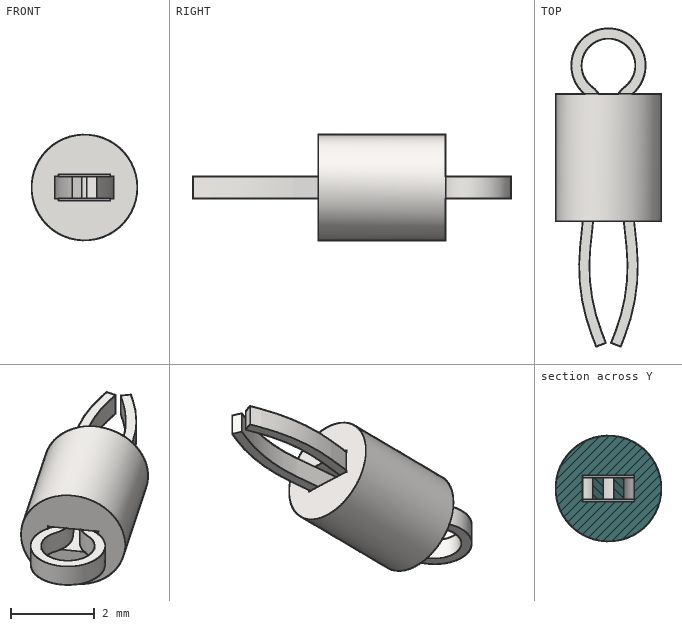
import cadquery as cq
import math

sleeve_diameter = 2.54
sleeve_length = 3.05
slot_half_width = 0.62
slot_height = 0.625

overall_length = 7.62
strip_thickness = 0.25
strip_width = 0.53
loop_outer_radius = 0.89
loop_top_y = 4.62
neck_bend_radius = 0.65
leg_bend_radius = 4.495
leg_bend_start_y = -0.595

loop_top_angle = 90.0
neck_angle = -50.0
splay_angle = 6.0
tip_angle = -21.0

half_thickness = strip_thickness / 2
loop_radius = loop_outer_radius - half_thickness
loop_center = (0.0, loop_top_y - loop_outer_radius)
tip_y = loop_top_y - overall_length


def normal(angle):
    """Unit vector at an angle in degrees from +X."""
    return math.cos(math.radians(angle)), math.sin(math.radians(angle))


def on_arc(center, radius, angle):
    """Point of a circle; a negative radius gives the opposite side."""
    nx, ny = normal(angle)
    return center[0] + radius * nx, center[1] + radius * ny


def dot(a, b):
    return a[0] * b[0] + a[1] * b[1]


leg_bend_start = (
    slot_half_width - leg_bend_start_y * math.tan(math.radians(splay_angle)),
    leg_bend_start_y,
)
leg_bend_center = on_arc(leg_bend_start, -(leg_bend_radius + half_thickness), splay_angle)


def find_neck_bend_center():
    """Centre of the arc tangent to the straight neck and the splayed leg."""
    neck = normal(neck_angle)
    leg = normal(splay_angle)
    neck_distance = dot(loop_center, neck) + loop_radius + neck_bend_radius
    leg_distance = dot(leg_bend_center, leg) + leg_bend_radius + neck_bend_radius
    determinant = neck[0] * leg[1] - neck[1] * leg[0]
    return (
        (neck_distance * leg[1] - leg_distance * neck[1]) / determinant,
        (neck[0] * leg_distance - leg[0] * neck_distance) / determinant,
    )


neck_bend_center = find_neck_bend_center()

leg_bend_end_y = on_arc(leg_bend_center, leg_bend_radius + half_thickness, tip_angle)[1]
tip_length = (leg_bend_end_y - tip_y) / math.cos(math.radians(tip_angle))


def mirrored(point):
    return -point[0], point[1]


def strip_edge(offset):
    """Right tip, the five arcs from right leg to left leg, and left tip of one strip face."""
    bends = [
        (leg_bend_center, leg_bend_radius + offset, tip_angle, splay_angle),
        (neck_bend_center, offset - neck_bend_radius, splay_angle, neck_angle),
    ]
    right_arcs = [
        [on_arc(center, radius, angle) for angle in (start, (start + end) / 2, end)]
        for center, radius, start, end in bends
    ]
    loop_start = on_arc(loop_center, loop_radius + offset, neck_angle)
    loop_top = on_arc(loop_center, loop_radius + offset, loop_top_angle)
    loop_arc = [loop_start, loop_top, mirrored(loop_start)]
    left_arcs = [
        [mirrored(point) for point in reversed(arc)] for arc in reversed(right_arcs)
    ]
    tip = on_arc(right_arcs[0][0], tip_length, tip_angle - 90)
    return tip, right_arcs + [loop_arc] + left_arcs, mirrored(tip)


def make_sleeve():
    body = cq.Workplane("XZ").circle(sleeve_diameter / 2).extrude(-sleeve_length)
    slot = cq.Workplane("XZ").rect(2 * slot_half_width, slot_height).extrude(-sleeve_length)
    return body.cut(slot).solids()


def make_clip():
    outer_right_tip, outer_arcs, outer_left_tip = strip_edge(half_thickness)
    inner_right_tip, inner_arcs, inner_left_tip = strip_edge(-half_thickness)
    outline = cq.Workplane("XY", origin=(0, 0, -strip_width / 2)).moveTo(*outer_right_tip)
    for start, middle, end in outer_arcs:
        outline = outline.lineTo(*start).threePointArc(middle, end)
    outline = outline.lineTo(*outer_left_tip).lineTo(*inner_left_tip)
    for start, middle, end in reversed(inner_arcs):
        outline = outline.lineTo(*end).threePointArc(middle, start)
    outline = outline.lineTo(*inner_right_tip)
    return outline.close().extrude(strip_width)


sleeve = make_sleeve()
clip = make_clip()

result = cq.Compound.makeCompound([sleeve.val(), clip.val()])